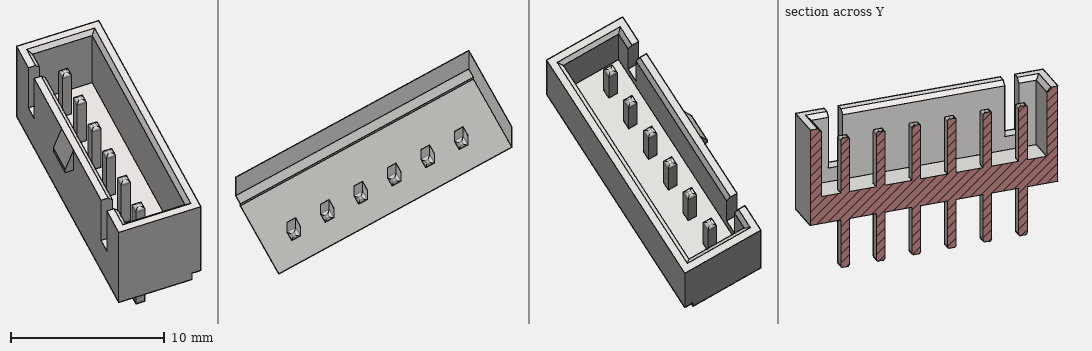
import cadquery as cq

housing_length = 17.4
housing_depth = 5.81
housing_height = 7.0
wall = 0.8
cavity_depth = 5.0

bevel_width = 0.3
bevel_height = 0.3

step_size = 0.63

slot_width = 1.0
slot_offset = 6.2
slot_depth = 4.0

latch_width = 2.02
latch_height = 1.98
latch_reach = 0.6
latch_lip = 0.31

pin_count = 6
pin_span = 12.5
pin_width = 0.65
pin_from_front = 2.42
pin_below_housing = 3.5
pin_below_rim = 1.0
pin_round = 0.21

cavity_length = housing_length - 2 * wall
cavity_width = housing_depth - 2 * wall
cavity_floor = housing_height - cavity_depth
mid_depth = housing_depth / 2
pin_pitch = pin_span / (pin_count - 1)
pin_length = housing_height - pin_below_rim + pin_below_housing


def make_housing():
    """Block with a stepped lower back edge, drawn as a side profile and extruded along X."""
    return (
        cq.Workplane("YZ")
        .moveTo(0, 0)
        .lineTo(housing_depth - step_size, 0)
        .lineTo(housing_depth - step_size, step_size)
        .lineTo(housing_depth, step_size)
        .lineTo(housing_depth, housing_height)
        .lineTo(0, housing_height)
        .close()
        .extrude(housing_length / 2, both=True)
    )


def make_cavity():
    """Rectangular pocket opened out by a sloped lead-in at the rim."""
    pocket = (
        cq.Workplane("XY", origin=(0, mid_depth, cavity_floor))
        .rect(cavity_length, cavity_width)
        .extrude(cavity_depth)
    )
    lead_in = (
        cq.Workplane("XY", origin=(0, mid_depth, housing_height - bevel_height))
        .rect(cavity_length, cavity_width)
        .workplane(offset=bevel_height)
        .rect(cavity_length + 2 * bevel_width, cavity_width + 2 * bevel_width)
        .loft(ruled=True)
    )
    return pocket.union(lead_in)


def make_slot(x):
    """Slot cutter that opens the front wall from the rim down."""
    return (
        cq.Workplane("XY", origin=(x, wall / 2, housing_height - slot_depth))
        .rect(slot_width, wall)
        .extrude(slot_depth)
    )


def make_latch():
    """Wedge sloping out from the rim to a short vertical lip."""
    return (
        cq.Workplane("YZ")
        .moveTo(0, housing_height)
        .lineTo(-latch_reach, housing_height - latch_height + latch_lip)
        .lineTo(-latch_reach, housing_height - latch_height)
        .lineTo(0, housing_height - latch_height)
        .close()
        .extrude(latch_width / 2, both=True)
    )


def make_pin(x):
    """Square pin with rounded edges at both ends."""
    return (
        cq.Workplane("XY", origin=(x, pin_from_front, -pin_below_housing))
        .rect(pin_width, pin_width)
        .extrude(pin_length)
        .faces("<Z or >Z")
        .edges()
        .fillet(pin_round)
    )


result = make_housing().cut(make_cavity())

for side in (-1, 1):
    result = result.cut(make_slot(side * slot_offset))

result = result.union(make_latch())

for index in range(pin_count):
    result = result.union(make_pin(index * pin_pitch - pin_span / 2))